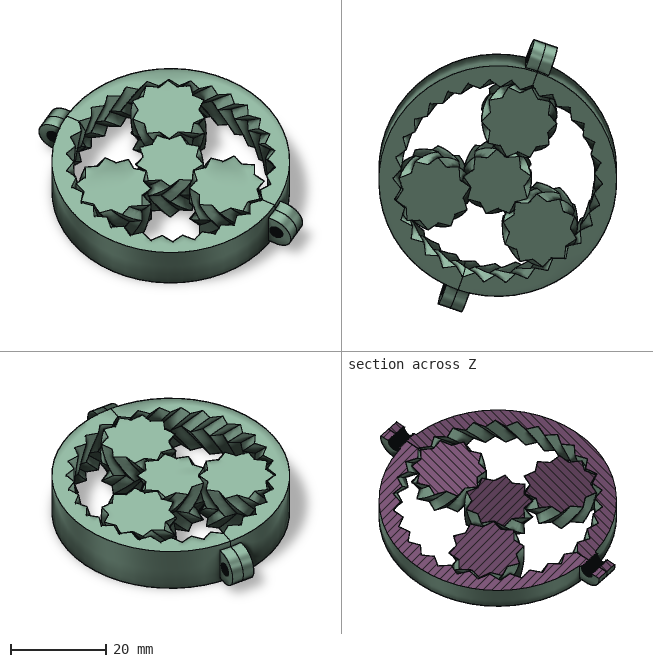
import cadquery as cq
import math

RING_RADIUS = 25.0
HEIGHT = 10.1
MID_HEIGHT = HEIGHT / 2

SUN_TEETH = 9
SUN_TIP_RADIUS = 7.2
SUN_ROOT_RADIUS = 5.7
PLANET_TEETH = 10
PLANET_TIP_RADIUS = 7.9
PLANET_ROOT_RADIUS = 6.4
RING_TEETH = 30
RING_GROOVE_RADIUS = 22.0
RING_TOOTH_RADIUS = 20.4
PLANET_COUNT = 3
PLANET_ORBIT_RADIUS = 13.75
GEAR_TRAIN_X = -0.25

LUG_REACH = 30.25
LUG_WIDTH = 5.15
LUG_BOTTOM = 1.1
LUG_TOP_RADIUS = 4.0
LUG_BOTTOM_RADIUS = 3.5

SCREW_X = 26.75
SCREW_Z = 4.7
THREAD_CREST_DIAMETER = 2.55
THREAD_ROOT_DIAMETER = 3.1
THREAD_PITCH = 0.5
THREAD_ROOT_ARC = 360 / 8
THREAD_CREST_ARC = 360 / 4
THREAD_START_ANGLE = 310
FLANK_STEPS = 8


def polar(radius, degrees):
    angle = math.radians(degrees)
    return (radius * math.cos(angle), radius * math.sin(angle))


def star(teeth, tip_radius, root_radius):
    """Closed zigzag outline with one tip on the +X axis."""
    half_pitch = 180 / teeth
    points = []
    for corner in range(2 * teeth):
        radius = root_radius if corner % 2 else tip_radius
        points.append(polar(radius, corner * half_pitch))
    return points


def herringbone(teeth, tip_radius, root_radius, hand):
    """Star prism that turns by one tooth from each end face to the middle."""
    twist = hand * 360 / teeth
    upper = (
        cq.Workplane("XY", origin=(0, 0, MID_HEIGHT))
        .polyline(star(teeth, tip_radius, root_radius))
        .close()
        .twistExtrude(MID_HEIGHT, twist)
    )
    lower = upper.mirror("XY", (0, 0, MID_HEIGHT))
    return upper.union(lower)


def make_sun():
    """Sun gear with a tooth gap facing each planet."""
    sun = herringbone(SUN_TEETH, SUN_TIP_RADIUS, SUN_ROOT_RADIUS, 1)
    return sun.rotate((0, 0, 0), (0, 0, 1), 180).translate((GEAR_TRAIN_X, 0, 0))


def make_planet(index):
    """Planet gear with one tooth pointing away from the sun."""
    planet = herringbone(PLANET_TEETH, PLANET_TIP_RADIUS, PLANET_ROOT_RADIUS, -1)
    planet = planet.translate((PLANET_ORBIT_RADIUS, 0, 0))
    planet = planet.rotate((0, 0, 0), (0, 0, 1), index * 360 / PLANET_COUNT)
    return planet.translate((GEAR_TRAIN_X, 0, 0))


def make_lug():
    """Lug on the +X side, running inward to the middle of the ring wall."""
    inner_x = (RING_RADIUS + RING_GROOVE_RADIUS) / 2
    seam_z = LUG_BOTTOM + LUG_BOTTOM_RADIUS
    top_z = seam_z + LUG_TOP_RADIUS
    return (
        cq.Workplane("XZ")
        .moveTo(inner_x, LUG_BOTTOM)
        .lineTo(LUG_REACH - LUG_BOTTOM_RADIUS, LUG_BOTTOM)
        .tangentArcPoint((LUG_REACH, seam_z), relative=False)
        .tangentArcPoint((LUG_REACH - LUG_TOP_RADIUS, top_z), relative=False)
        .lineTo(inner_x, top_z)
        .close()
        .extrude(LUG_WIDTH / 2, both=True)
    )


def make_threaded_bore():
    """Threaded rod along Y, somewhat longer than the lug width, that cuts a screw hole.

    Its cross-section has a crest arc and a root arc joined by two spiral flanks.
    """
    crest_radius = THREAD_CREST_DIAMETER / 2
    root_radius = THREAD_ROOT_DIAMETER / 2
    root_end = THREAD_ROOT_ARC / 2
    crest_start = 180 - THREAD_CREST_ARC / 2
    flank = []
    for step in range(FLANK_STEPS + 1):
        share = step / FLANK_STEPS
        radius = root_radius + share * (crest_radius - root_radius)
        flank.append(polar(radius, root_end + share * (crest_start - root_end)))
    return_flank = [(x, -y) for x, y in reversed(flank)]
    length = LUG_WIDTH + THREAD_PITCH
    return (
        cq.Workplane("XY", origin=(0, 0, -length / 2))
        .moveTo(*flank[0])
        .spline(flank[1:], includeCurrent=True)
        .threePointArc((-crest_radius, 0), return_flank[0])
        .spline(return_flank[1:], includeCurrent=True)
        .threePointArc((root_radius, 0), flank[0])
        .close()
        .twistExtrude(length, 360 * length / THREAD_PITCH)
        .rotate((0, 0, 0), (0, 0, 1), THREAD_START_ANGLE)
        .rotate((0, 0, 0), (1, 0, 0), 90)
    )


def make_lugs():
    """Threaded lugs at both ends of the X diameter."""
    plain_lug = make_lug()
    bore = make_threaded_bore()
    right_lug = plain_lug.cut(bore.translate((SCREW_X, 0, SCREW_Z)))
    left_lug = plain_lug.mirror("YZ").cut(bore.translate((-SCREW_X, 0, SCREW_Z)))
    return (right_lug, left_lug)


def make_ring():
    """Complete ring gear with its lugs, before it is split."""
    ring = cq.Workplane("XY").circle(RING_RADIUS).extrude(HEIGHT)
    ring = ring.cut(herringbone(RING_TEETH, RING_GROOVE_RADIUS, RING_TOOTH_RADIUS, -1))
    for lug in make_lugs():
        ring = ring.union(lug)
    return ring


def make_ring_half(ring, side):
    """Half of the ring on the +Y side (side = 1) or the -Y side (side = -1)."""
    keeper = cq.Workplane("XY").box(2 * LUG_REACH, RING_RADIUS, HEIGHT, centered=(True, True, False))
    return ring.intersect(keeper.translate((0, side * RING_RADIUS / 2, 0)))


ring = make_ring()
ring_halves = [make_ring_half(ring, side) for side in (1, -1)]
sun = make_sun()
planets = [make_planet(index) for index in range(PLANET_COUNT)]

bodies = [*ring_halves, sun, *planets]

result = cq.Compound.makeCompound([body.solids().val() for body in bodies])